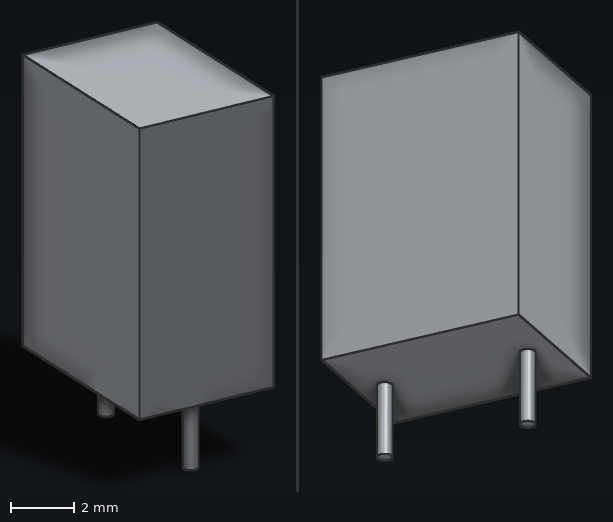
import cadquery as cq


case_width = 7.0
case_depth = 5.0
case_height = 10.0

lead_diameter = 0.5
lead_length = 2.54
lead_pitch = 5.08


def make_case():
    """Rectangular case with its underside at Z = 0."""
    return cq.Workplane("XY").box(case_width, case_depth, case_height, centered=(True, True, False))


def make_lead(x):
    """Round lead at the given X, hanging from the underside of the case."""
    return cq.Workplane("XY").center(x, 0).circle(lead_diameter / 2).extrude(-lead_length)


case = make_case()
leads = [make_lead(side * lead_pitch / 2) for side in (-1, 1)]

result = cq.Compound.makeCompound([case.val(), *[lead.val() for lead in leads]])